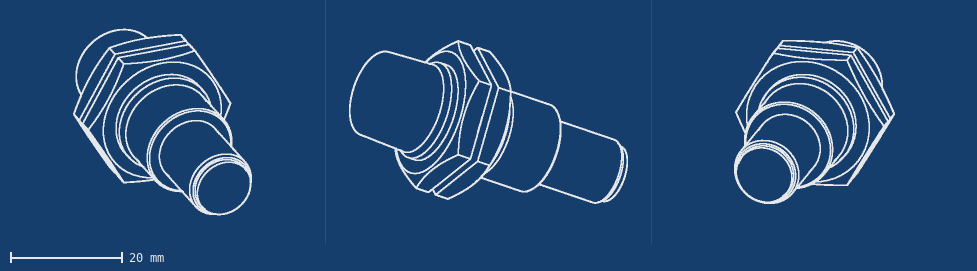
import cadquery as cq
import math

total_length = 51.5

nose_front_radius = 7.9
nose_rear_radius = 8.3
nose_length = 10.0
nose_edge_radius = 0.7

collar_radius = 18.0 / 2
shoulder_length = 1.25
collar_end = 25.0

body_radius = 16.5 / 2
body_end = 35.45
body_chamfer = 0.3

shaft_radius = 12.0 / 2
tip_radius = 10.4 / 2
tip_length = 1.15
shaft_chamfer_length = 0.6
shaft_chamfer_depth = 0.4

across_flats = 24.0
nut_thickness = 4.0
nut_gap = 1.55
first_nut_start = 12.6
nut_face_radius = 11.5
nut_chamfer_angle = 30.0


def make_body():
    """Revolve the stepped profile about the X axis and round the nose edge."""
    tip_start = total_length - tip_length
    profile = [
        (0, 0),
        (0, nose_front_radius),
        (nose_length, nose_rear_radius),
        (nose_length + shoulder_length, collar_radius),
        (collar_end - shoulder_length, collar_radius),
        (collar_end, body_radius),
        (body_end - body_chamfer, body_radius),
        (body_end, body_radius - body_chamfer),
        (body_end, shaft_radius),
        (tip_start - shaft_chamfer_length, shaft_radius),
        (tip_start, shaft_radius - shaft_chamfer_depth),
        (tip_start, tip_radius),
        (total_length, tip_radius),
        (total_length, 0),
    ]
    body = cq.Workplane("XY").polyline(profile).close().revolve(360, (0, 0, 0), (1, 0, 0))
    return body.faces("<X").edges().fillet(nose_edge_radius)


def make_nut():
    """Make a nut from X = 0 with corners on the Y axis and the chamfer on its -X face."""
    across_corners = across_flats / math.cos(math.radians(30))
    hexagon = cq.Workplane("YZ").polygon(6, across_corners).extrude(nut_thickness)
    cone_rear_radius = nut_face_radius + nut_thickness / math.tan(math.radians(nut_chamfer_angle))
    chamfer_cone = (
        cq.Workplane("XY")
        .polyline([
            (0, 0),
            (0, nut_face_radius),
            (nut_thickness, cone_rear_radius),
            (nut_thickness, 0),
        ])
        .close()
        .revolve(360, (0, 0, 0), (1, 0, 0))
    )
    return hexagon.intersect(chamfer_cone)


gap_middle = first_nut_start + nut_thickness + nut_gap / 2
first_nut = make_nut().translate((first_nut_start, 0, 0))
second_nut = first_nut.mirror("YZ", (gap_middle, 0, 0))

result = make_body().union(first_nut).union(second_nut)